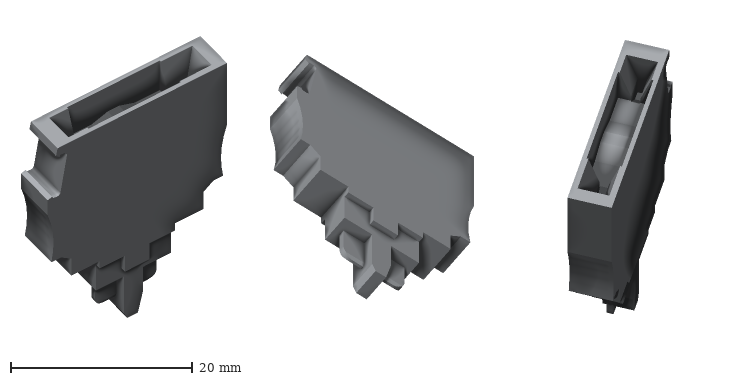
import cadquery as cq

height = 33.25
body_width = 5.1
half_length = 12.1
shoulder_z = 10.95

lip_top = (-10.77, height)
lip_nose = (-10.97, 32.15)
lip_tip = (-10.5, 31.72)
lip_inside = (-10.4, 32.02)
recess_upper_arc = [(-9.78, 31.95), (-9.55, 31.75), (-9.5, 31.32)]
recess_lower_arc = [(-10.37, 26.05), (-10.55, 25.77), (-10.87, 25.67)]
hook_foot = (-11.37, 25.75)
hook_tip = (-11.5, 26.05)
hook_front_z = 25.85

grip_top_z = 23.45
grip_mid_y = 11.35
grip_bottom_y = 11.6
grip_bottom_z = 15.75
grip_mid_z = (grip_top_z + grip_bottom_z) / 2
ledge_y = 10.3
step_y = 8.9
step_top_z = 14.73
step_bottom_z = 12.07

plug_width = 3.62
plug_half_length = 5.1
plug_bottom_z = 6.8
key_length = 3.32
key_bottom_z = 8.4

prong_front_y = -1.3
prong_front_chamfer_z = 0.95
prong_tip_front_y = -0.83
prong_tip_back_y = 0.6
prong_back_y = 1.25
prong_taper_z = 2.9

blade_thickness = 0.73
blade_half_length = 4.15
blade_bottom_z = 2.35
blade_corner_radius = 1.4
blade_bevel_width = 0.2
blade_bevel_height = 0.53

opening_half_width = 1.83
opening_back_y = 10.55
funnel_depth = 3.85
slot_half_width = 0.53
slot_outer_y = 8.8
slot_ramp_y = 7.78
slot_inner_y = 6.12
slot_depth = 6.32
bay_half_width = 2.03
bay_half_length = 6.25
bay_depth = 4.65
ridge_depth = 3.9
ridge_half_top = 0.75
ridge_half_base = 2.93


def extrude_across(outline, width):
    """Extrude a closed YZ outline symmetrically about X = 0."""
    return outline.extrude(width / 2, both=True)


def yz_prism(points, width):
    return extrude_across(cq.Workplane("YZ").polyline(points).close(), width)


def make_body():
    outline = (
        cq.Workplane("YZ")
        .moveTo(half_length, height)
        .lineTo(*lip_top)
        .lineTo(*lip_nose)
        .lineTo(*lip_tip)
        .lineTo(*lip_inside)
        .lineTo(*recess_upper_arc[0])
        .threePointArc(*recess_upper_arc[1:])
        .lineTo(*recess_lower_arc[0])
        .threePointArc(*recess_lower_arc[1:])
        .lineTo(*hook_foot)
        .lineTo(*hook_tip)
        .lineTo(-half_length, hook_front_z)
        .lineTo(-half_length, grip_top_z)
        .threePointArc((-grip_mid_y, grip_mid_z), (-grip_bottom_y, grip_bottom_z))
        .lineTo(-ledge_y, grip_bottom_z)
        .lineTo(-step_y, step_top_z)
        .lineTo(-step_y, step_bottom_z)
        .lineTo(-plug_half_length, step_bottom_z)
        .lineTo(-plug_half_length, shoulder_z)
        .lineTo(plug_half_length, shoulder_z)
        .lineTo(plug_half_length, step_bottom_z)
        .lineTo(step_y, step_bottom_z)
        .lineTo(step_y, step_top_z)
        .lineTo(ledge_y, grip_bottom_z)
        .lineTo(grip_bottom_y, grip_bottom_z)
        .threePointArc((grip_mid_y, grip_mid_z), (half_length, grip_top_z))
        .close()
    )
    return extrude_across(outline, body_width)


def make_plug():
    """Plug block and the tapered guide prong below it."""
    points = [
        (-plug_half_length, shoulder_z),
        (-plug_half_length, plug_bottom_z),
        (prong_front_y, plug_bottom_z),
        (prong_front_y, prong_front_chamfer_z),
        (prong_tip_front_y, 0),
        (prong_tip_back_y, 0),
        (prong_back_y, prong_taper_z),
        (prong_back_y, plug_bottom_z),
        (plug_half_length, plug_bottom_z),
        (plug_half_length, shoulder_z),
    ]
    return yz_prism(points, plug_width)


def make_key():
    """Coding key on the +X side of the plug, flush with the housing."""
    return cq.Workplane("XY").box(
        body_width / 2, key_length, shoulder_z - key_bottom_z, centered=(False, True, False)
    ).translate((0, 0, key_bottom_z))


def make_blade():
    """Flat contact with rounded lower corners and a bevelled bottom edge."""
    blade_height = plug_bottom_z - blade_bottom_z
    blade = (
        cq.Workplane("XY", origin=(0, 0, blade_bottom_z))
        .box(blade_thickness, 2 * blade_half_length, blade_height, centered=(True, True, False))
        .edges("|X and <Z")
        .fillet(blade_corner_radius)
    )
    half_thickness = blade_thickness / 2
    half_tip = half_thickness - blade_bevel_width
    bevel_top_z = blade_bottom_z + blade_bevel_height
    envelope = (
        cq.Workplane("XZ")
        .polyline([
            (-half_tip, blade_bottom_z),
            (half_tip, blade_bottom_z),
            (half_thickness, bevel_top_z),
            (half_thickness, plug_bottom_z),
            (-half_thickness, plug_bottom_z),
            (-half_thickness, bevel_top_z),
        ])
        .close()
        .extrude(blade_half_length, both=True)
    )
    return blade.intersect(envelope)


def make_bay():
    """Central bay with a flat-topped ridge across its floor."""
    floor_z = height - bay_depth
    ridge_z = height - ridge_depth
    points = [
        (-bay_half_length, height),
        (-bay_half_length, floor_z),
        (-ridge_half_base, floor_z),
        (-ridge_half_top, ridge_z),
        (ridge_half_top, ridge_z),
        (ridge_half_base, floor_z),
        (bay_half_length, floor_z),
        (bay_half_length, height),
    ]
    return yz_prism(points, 2 * bay_half_width)


def make_funnel():
    """Opening that narrows to the slots; its front end wall stays upright."""
    top_center_y = (opening_back_y - slot_outer_y) / 2
    return (
        cq.Workplane("XY", origin=(0, 0, height))
        .center(0, top_center_y)
        .rect(2 * opening_half_width, opening_back_y + slot_outer_y)
        .workplane(offset=-funnel_depth)
        .center(0, -top_center_y)
        .rect(2 * slot_half_width, 2 * slot_outer_y)
        .loft(ruled=True)
    )


def make_slot(side):
    """Narrow slot at one end (side = 1 or -1), ramped towards the bay floor."""
    top_z = height - funnel_depth
    bottom_z = height - slot_depth
    points = [
        (side * slot_outer_y, top_z),
        (side * slot_outer_y, bottom_z),
        (side * slot_ramp_y, bottom_z),
        (side * slot_inner_y, height - bay_depth),
        (side * slot_inner_y, top_z),
    ]
    return yz_prism(points, 2 * slot_half_width)


result = make_body().union(make_plug()).union(make_key()).union(make_blade())
result = result.cut(make_bay()).cut(make_funnel())
for end_side in (-1, 1):
    result = result.cut(make_slot(end_side))